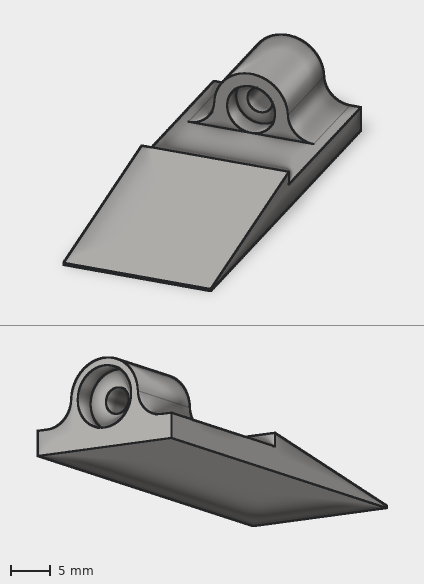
import cadquery as cq
import math

width = 20.0
length = 50.0
plate_thickness = 3.25
tongue_length = 26.0
tongue_height = 5.0
tip_thickness = 0.3

boss_length = 12.1
boss_radius = 5.0
axis_height = 6.5
foot_fillet = 3.5

hole_diameter = 3.4
front_bore_diameter = 6.5
front_bore_depth = 3.0
rear_bore_diameter = 8.0
rear_bore_depth = 3.0

boss_front = length - boss_length


def make_plate():
    """Flat plate and tapered tongue, extruded across the full width."""
    side_profile = [
        (0, 0),
        (length, 0),
        (length, plate_thickness),
        (tongue_length, plate_thickness),
        (tongue_length, tongue_height),
        (0, tip_thickness),
    ]
    return cq.Workplane("YZ").polyline(side_profile).close().extrude(width / 2, both=True)


def make_boss():
    """Round-topped boss that flows into the plate through a concave fillet on each side."""
    fillet_height = plate_thickness + foot_fillet
    center_distance = boss_radius + foot_fillet
    center_rise = fillet_height - axis_height
    foot_x = math.sqrt(center_distance**2 - center_rise**2)
    tangent_x = foot_x * boss_radius / center_distance
    tangent_z = axis_height + center_rise * boss_radius / center_distance

    tangent_angle = math.atan2(center_rise, foot_x)
    middle_angle = (math.pi / 2 + tangent_angle) / 2
    middle_x = foot_x - foot_fillet * math.cos(middle_angle)
    middle_z = fillet_height - foot_fillet * math.sin(middle_angle)

    return (
        cq.Workplane("XZ", origin=(0, length, 0))
        .moveTo(-foot_x, plate_thickness)
        .threePointArc((-middle_x, middle_z), (-tangent_x, tangent_z))
        .threePointArc((0, axis_height + boss_radius), (tangent_x, tangent_z))
        .threePointArc((middle_x, middle_z), (foot_x, plate_thickness))
        .lineTo(foot_x, 0)
        .lineTo(-foot_x, 0)
        .close()
        .extrude(boss_length)
    )


def make_bore(diameter, start_y, depth):
    """Cylinder on the boss axis, running toward +Y from start_y."""
    return (
        cq.Workplane("XZ", origin=(0, start_y, axis_height))
        .circle(diameter / 2)
        .extrude(-depth)
    )


result = (
    make_plate()
    .union(make_boss())
    .cut(make_bore(hole_diameter, boss_front, boss_length))
    .cut(make_bore(front_bore_diameter, boss_front, front_bore_depth))
    .cut(make_bore(rear_bore_diameter, length - rear_bore_depth, rear_bore_depth))
)